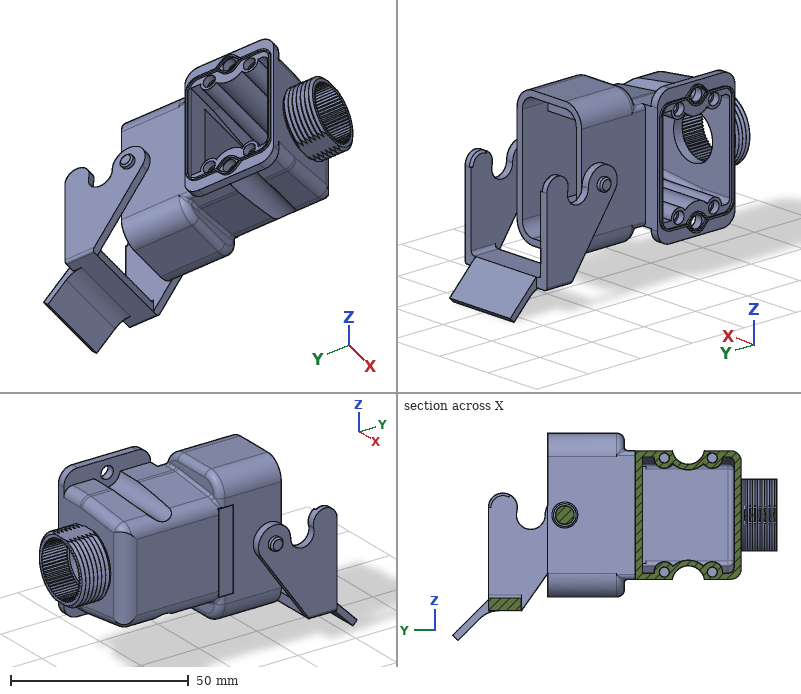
import cadquery as cq
import math


hood_half_x = 13.3
hood_half_z = 23.1
hood_corner = 6.7
hood_front = 32.9
hood_back = 54.6
hood_edge_fillet = 2.2
wall = 2.2

flange_face = -18.25
flange_thickness = 2.65
flange_back = flange_face + flange_thickness
flange_depth = 29.9
flange_corner = 4.7
flange_mid = flange_depth / 2
rib_height = 0.6
rib_width = 0.55
rib_margin = 0.8
rib_half_z = 19.1
rib_corner = 3.8
rib_eye_radius = 3.1

body_half_z = 18.2
taper_start = -7.0
taper_end_half_z = 15.8
taper_slope = (body_half_z - taper_end_half_z) / (hood_half_x - taper_start)
body_corner = 4.5
body_front_fillet = 3.1
body_neck_round = 1.5
body_end_round = 4.7
taper_bend_radius = 9.1
junction_fillet = 0.9
pad_thickness = 0.2
pad_length = 4.9
pad_half_z = 13.7

pocket_front = 2.1
pocket_back = 27.8
pocket_half_z = 16.3
pocket_corner = 1.6
pocket_floor_round = 1.5
pocket_floor = hood_half_x - wall
opening_half_z = 13.7
mouth_depth = 9.9

screw_z = 18.9
screw_hole_radius = 2.1
screw_channel_radius = 4.6
screw_channel_wall = 1.6
pilot_offset = 6.75
pilot_z = 16.1
pilot_hole_radius = 1.4
pilot_mouth_radius = 2.0
pilot_mouth_depth = 2.3
pilot_boss_radius = 2.9
pilot_depth = 10.95

tube_x = -3.1
tube_length = 9.95
thread_root = 10.4
thread_crest = 11.3
thread_pitch = 1.4
thread_turns = 7
thread_start = tube_length - thread_turns * thread_pitch
tube_flat_half = 10.1
tube_bore = 8.0
socket_depth = 8.7
socket_radius = 8.85
serration_depth = 0.55
serration_count = 60

pivot_y = 49.7
arm_outer = 16.9
arm_thickness = 2.6
arm_inner = arm_outer - arm_thickness
arm_eye_radius = 5.6
notch_radius = 4.0
hook_radius = 4.1
lever_back = 71.3
notch_y = pivot_y + arm_eye_radius + notch_radius
hook_y = lever_back - hook_radius
hook_z = math.sqrt((notch_radius + hook_radius) ** 2 - (hook_y - notch_y) ** 2)
hook_chamfer = 0.7
hook_chamfer_sweep = 120
lever_bottom = -27.0
lever_bottom_front = 62.0
bridge_thickness = 3.2
bridge_outer_round = 0.9
bridge_inner_round = 1.3
tab_half_x = 12.5
tab_thickness = 2.1
tab_reach = 81.3
tab_blend = 7.3

pin_radius = 2.2
pin_end = 18.5
pin_chamfer = 0.55
pin_boss_radius = 3.65
pin_collar_radius = 2.65
pin_boss_height = 0.5

SIDES = (-1, 1)


def box(x0, x1, y0, y1, z0, z1):
    """Box between two opposite corners."""
    return cq.Workplane("XY").box(x1 - x0, y1 - y0, z1 - z0, centered=False).translate((x0, y0, z0))


def rod_x(radius, x0, x1, y, z):
    """Cylinder parallel to X from x0 to x1."""
    return cq.Workplane("YZ", origin=(x0, y, z)).circle(radius).extrude(x1 - x0)


def tapered_block(half_z, x0, x1, y0, y1):
    """Block whose top and bottom draw together beyond the taper start."""
    end_half_z = half_z - taper_slope * (x1 - taper_start)
    upper = [(x0, half_z), (taper_start, half_z), (x1, end_half_z)]
    lower = [(x, -z) for x, z in reversed(upper)]
    return cq.Workplane("XZ", origin=(0, y0, 0)).polyline(upper + lower).close().extrude(y0 - y1)


def make_hood():
    length = hood_back - hood_front
    block = (
        cq.Workplane("XZ", origin=(0, hood_back, 0))
        .rect(2 * hood_half_x, 2 * hood_half_z)
        .extrude(length)
        .edges("|Y")
        .fillet(hood_corner)
    )
    return block.faces("<Y").edges().fillet(hood_edge_fillet)


def make_body():
    neck_end = hood_front + hood_edge_fillet
    body = tapered_block(body_half_z, flange_back, hood_half_x, 0, neck_end)
    body = body.faces(">X").edges("|Y").fillet(body_corner)
    bends = cq.selectors.BoxSelector(
        (taper_start - 0.1, -0.9, -hood_half_z), (taper_start + 0.1, neck_end + 0.9, hood_half_z)
    )
    body = body.edges(bends).edges("|Y").fillet(taper_bend_radius)
    body = body.faces("<Y").edges("not <X").fillet(body_front_fillet)
    rounded_end = (
        box(flange_back, hood_half_x, 0, neck_end, -hood_half_z, hood_half_z)
        .edges(">X and <Y")
        .fillet(body_end_round)
    )
    body = body.intersect(rounded_end)
    side_gap = box(flange_back, -hood_half_x, flange_depth, neck_end, -hood_half_z, hood_half_z)
    body = body.cut(side_gap)
    neck_edges = cq.selectors.BoxSelector(
        (-hood_half_x - 0.1, flange_depth + 0.1, -hood_half_z),
        (-hood_half_x + 0.1, neck_end + 0.1, hood_half_z),
    )
    return body.edges("|Y").edges(neck_edges).fillet(body_neck_round)


def make_flange():
    return (
        cq.Workplane("YZ", origin=(flange_face, flange_mid, 0))
        .rect(flange_depth, 2 * hood_half_z)
        .extrude(flange_thickness)
        .edges("|X")
        .fillet(flange_corner)
    )


def rib_loop(inset):
    """Rounded rectangle that the sealing rib follows, shrunk by the inset."""
    return (
        cq.Workplane("YZ", origin=(flange_face - rib_height, flange_mid, 0))
        .rect(flange_depth - 2 * (rib_margin + inset), 2 * (rib_half_z - inset))
        .extrude(rib_height)
        .edges("|X")
        .fillet(rib_corner - inset)
    )


def rib_eyes(radius):
    """Circles around the screw holes, pointed towards the rib with 45 degree flanks."""
    half_chord = radius / math.sqrt(2)
    tip = radius * math.sqrt(2)
    centers = [(0, side * screw_z) for side in SIDES]
    eyes = cq.Workplane("YZ", origin=(flange_face - rib_height, flange_mid, 0))
    rounds = eyes.pushPoints(centers).circle(radius).extrude(rib_height)
    for _, z in centers:
        flanks = [
            (-tip, z),
            (-half_chord, z + half_chord),
            (half_chord, z + half_chord),
            (tip, z),
            (half_chord, z - half_chord),
            (-half_chord, z - half_chord),
        ]
        rounds = rounds.union(eyes.polyline(flanks).close().extrude(rib_height))
    return rounds


def make_sealing_rib():
    outer_eyes = rib_eyes(rib_eye_radius)
    loop = rib_loop(0).cut(rib_loop(rib_width))
    return loop.union(outer_eyes).cut(rib_eyes(rib_eye_radius - rib_width))


def make_pocket():
    """Body cavity, with the screw channel walls and pilot bosses left standing."""
    pocket = tapered_block(pocket_half_z, flange_face, pocket_floor, pocket_front, pocket_back)
    pocket = pocket.faces(">X").edges("|Y").fillet(pocket_floor_round)
    pocket = pocket.faces("<Y").edges("not <X").fillet(pocket_corner)
    boss_radius = screw_channel_radius + screw_channel_wall
    for side in SIDES:
        pocket = pocket.cut(rod_x(boss_radius, flange_face, hood_half_x, flange_mid, side * screw_z))
        for shift in (-pilot_offset, pilot_offset):
            boss = rod_x(pilot_boss_radius, flange_face, hood_half_x, flange_mid + shift, side * pilot_z)
            pocket = pocket.cut(boss)
    return pocket


def make_hood_cavity():
    """Wide mouth at the rear of the hood and the narrower passage from it to the pocket."""
    inner_half_x = hood_half_x - wall
    inner_half_z = hood_half_z - wall
    cavity = (
        cq.Workplane("XZ", origin=(0, hood_back, 0))
        .rect(2 * inner_half_x, 2 * inner_half_z)
        .extrude(mouth_depth)
        .edges("|Y")
        .fillet(hood_corner - wall)
    )
    opening = box(-inner_half_x, inner_half_x, pocket_back - 0.9, hood_back, -opening_half_z, opening_half_z)
    return cavity.union(opening)


def cut_flange_screws(part):
    """Screw holes with their outside clearance channels, and the pilot holes beside them."""
    pilot_end = flange_face + pilot_depth
    mouth_end = flange_face + pilot_mouth_depth
    for side in SIDES:
        z = side * screw_z
        part = part.cut(rod_x(screw_channel_radius, flange_back, hood_half_x + 0.9, flange_mid, z))
        part = part.cut(rod_x(screw_hole_radius, flange_face, flange_back, flange_mid, z))
        for shift in (-pilot_offset, pilot_offset):
            y = flange_mid + shift
            part = part.cut(rod_x(pilot_hole_radius, flange_face, pilot_end, y, side * pilot_z))
            part = part.cut(rod_x(pilot_mouth_radius, flange_face, mouth_end, y, side * pilot_z))
    return part


def make_tube():
    """Tube with ring-shaped thread ridges and a flat above and below."""
    profile = [(0, body_front_fillet), (thread_root, body_front_fillet), (thread_root, -thread_start)]
    for turn in range(thread_turns):
        ridge_start = -thread_start - turn * thread_pitch
        profile.append((thread_crest, ridge_start - thread_pitch / 2))
        profile.append((thread_root, ridge_start - thread_pitch))
    profile.append((0, -tube_length))
    tube = cq.Workplane("XY").polyline(profile).close().revolve(360, (0, 0), (0, 1))
    flats = box(-thread_crest, thread_crest, -tube_length, body_front_fillet, -tube_flat_half, tube_flat_half)
    return tube.intersect(flats).translate((tube_x, 0, 0))


def make_tube_bore():
    """Through bore with a wider serrated socket at the mouth."""
    mouth = cq.Workplane("XZ", origin=(tube_x, -tube_length, 0))
    teeth = []
    for step in range(2 * serration_count):
        radius = socket_radius + serration_depth * (step % 2)
        angle = math.pi * step / serration_count
        teeth.append((radius * math.cos(angle), radius * math.sin(angle)))
    socket = mouth.polyline(teeth).close().extrude(-socket_depth)
    return mouth.circle(tube_bore).extrude(-tube_length - body_front_fillet).union(socket)


def polar(center, radius, direction):
    """Point on a circle in the given direction vector."""
    length = math.hypot(*direction)
    return (center[0] + radius * direction[0] / length, center[1] + radius * direction[1] / length)


def lever_outline():
    """Side shape of the lever: pivot eye, round notch and hook, in Y and Z."""
    pivot = (pivot_y, 0)
    notch = (notch_y, 0)

    corner = (lever_bottom_front, lever_bottom)
    to_corner = (corner[0] - pivot[0], corner[1] - pivot[1])
    tangent_angle = math.atan2(to_corner[1], to_corner[0])
    tangent_angle -= math.acos(arm_eye_radius / math.hypot(*to_corner))
    tangent = polar(pivot, arm_eye_radius, (math.cos(tangent_angle), math.sin(tangent_angle)))

    notch_to_hook = polar(notch, notch_radius, (hook_y - notch_y, hook_z))
    return (
        cq.Workplane("YZ", origin=(-arm_outer, 0, 0))
        .moveTo(*corner)
        .lineTo(*tangent)
        .threePointArc((pivot_y, arm_eye_radius), (pivot_y + arm_eye_radius, 0))
        .threePointArc((notch_y, -notch_radius), notch_to_hook)
        .threePointArc((hook_y, hook_z + hook_radius), (lever_back, hook_z))
        .lineTo(lever_back, lever_bottom)
        .close()
        .extrude(2 * arm_outer)
    )


def make_tab():
    """Finger tab sloping down at 45 degrees from the rear of the bridge."""
    step = tab_thickness / math.sqrt(2)
    top_start = (lever_back, lever_bottom + bridge_thickness)
    top_end = (tab_reach, top_start[1] - (tab_reach - top_start[0]))
    low_end = (top_end[0] - step, top_end[1] - step)
    blend_setback = tab_blend * math.tan(math.pi / 8)
    low_corner_y = low_end[0] - (lever_bottom - low_end[1])
    blend_start = (
        low_corner_y + blend_setback / math.sqrt(2),
        lever_bottom - blend_setback / math.sqrt(2),
    )
    blend_end = (low_corner_y - blend_setback, lever_bottom)
    return (
        cq.Workplane("YZ", origin=(-tab_half_x, 0, 0))
        .moveTo(*top_start)
        .lineTo(*top_end)
        .lineTo(*low_end)
        .lineTo(*blend_start)
        .tangentArcPoint(blend_end, relative=False)
        .lineTo(blend_end[0], top_start[1])
        .close()
        .extrude(2 * tab_half_x)
    )


def hook_lead_in(side):
    """Chamfer cutter over the back and top of a hook, on the inner face of its arm."""
    section = [
        (side * arm_inner, hook_radius - hook_chamfer),
        (side * arm_inner, hook_radius),
        (side * (arm_inner + hook_chamfer), hook_radius),
    ]
    ring_arc = cq.Workplane("XY").polyline(section).close().revolve(hook_chamfer_sweep, (0, 0), (1, 0))
    return ring_arc.translate((0, hook_y, hook_z))


def make_lever():
    gap_bottom = lever_bottom + bridge_thickness
    shape = lever_outline()
    shape = shape.faces("<Z").edges("|Y").fillet(bridge_outer_round)
    gap = box(-arm_inner, arm_inner, pivot_y - 9.1, lever_back + 0.9, gap_bottom, hood_half_z)
    gap = gap.faces("<Z").edges("|Y").fillet(bridge_inner_round)
    shape = shape.cut(gap)
    arm_gap = box(-arm_inner, arm_inner, pivot_y - 9.1, lever_bottom_front, lever_bottom, hood_half_z)
    shape = shape.cut(arm_gap)
    for side in SIDES:
        shape = shape.cut(hook_lead_in(side))
    return shape.union(make_tab())


def make_pins():
    """Pivot pins with a low boss on the hood side walls."""
    profile = [
        (0, hood_half_x - wall),
        (pin_boss_radius, hood_half_x - wall),
        (pin_boss_radius, hood_half_x),
        (pin_boss_radius - pin_boss_height, hood_half_x + pin_boss_height),
        (pin_collar_radius, hood_half_x + pin_boss_height),
        (pin_collar_radius, arm_inner),
        (pin_radius, arm_inner),
        (pin_radius, pin_end - pin_chamfer),
        (pin_radius - pin_chamfer, pin_end),
        (0, pin_end),
    ]
    pin = cq.Workplane("XY").polyline(profile).close().revolve(360, (0, 0), (0, 1))
    pins = cq.Workplane("XY")
    for side in SIDES:
        pins = pins.union(pin.rotate((0, 0, 0), (0, 0, 1), -90 * side).translate((0, pivot_y, 0)))
    return pins


def make_shell():
    shell = make_hood().union(make_body())
    inner_corners = cq.selectors.BoxSelector(
        (-hood_half_x + 1.8, hood_front - 0.1, -body_half_z - 0.1),
        (hood_half_x - 1.8, hood_front + 0.1, body_half_z + 0.1),
    )
    shell = shell.edges(inner_corners).fillet(junction_fillet)
    pad_face = hood_half_x + pad_thickness
    pad_end = hood_front + pad_length
    pad = box(pocket_floor, pad_face, hood_front, pad_end, -pad_half_z, pad_half_z)
    return shell.union(pad).union(make_flange()).union(make_tube())


result = make_shell().cut(make_pocket()).cut(make_hood_cavity()).cut(make_tube_bore())
result = cut_flange_screws(result)
result = result.union(make_sealing_rib()).union(make_lever()).union(make_pins())